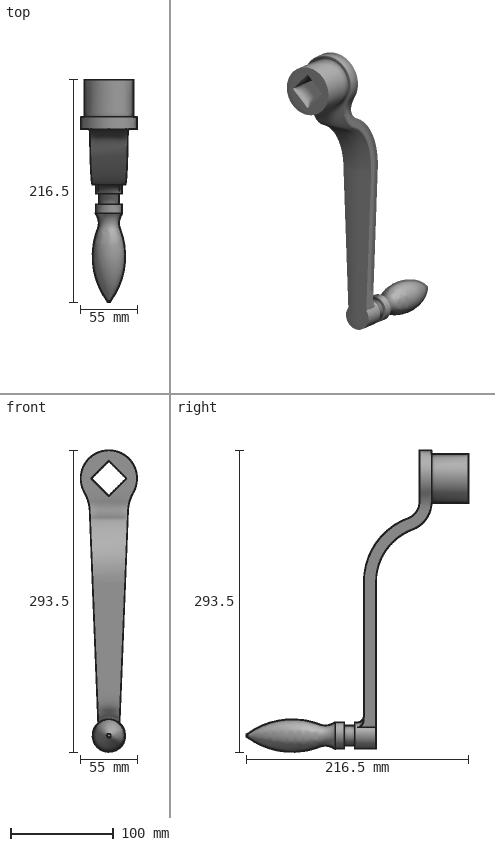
import math

import cadquery as cq

PLATE_BACK = 36.0
PLATE_FRONT = 48.0
ARM_THICKNESS = PLATE_FRONT - PLATE_BACK
ARM_FRONT = 102.0
ARM_BACK = ARM_FRONT - ARM_THICKNESS
BOSS_FRONT = 111.0
COLLAR_BACK = 121.0
COLLAR_FRONT = 130.0
WAIST = 139.5
TIP_BASE = 214.8
TIP_END = 216.5

HUB_RADIUS = 27.5
SOCKET_RADIUS = 24.0
SQUARE_SIDE = 24.0
SQUARE_ANGLE = 45.0

CRANK_LENGTH = 250.0
ARM_HALF_WIDTH_TOP = 20.0
ARM_HALF_WIDTH_BOTTOM = 10.0
NECK_FILLET = 38.0
UPPER_BEND_RADIUS = 17.0
LOWER_BEND_RADIUS = 66.0
LOWER_BEND_END_Z = -100.5

EDGE_ROUND_HUB = 1.0
EDGE_ROUND_BEND = 3.3
EDGE_ROUND_END = 0.1

BEND_RADIUS_SUM = UPPER_BEND_RADIUS + LOWER_BEND_RADIUS
BEND_CENTRE_GAP = BEND_RADIUS_SUM - (ARM_FRONT - PLATE_FRONT)
BEND_HEIGHT = math.sqrt(BEND_RADIUS_SUM**2 - BEND_CENTRE_GAP**2)
BEND_SWEEP = math.atan2(BEND_HEIGHT, BEND_CENTRE_GAP)
UPPER_BEND_START_Z = LOWER_BEND_END_Z + BEND_HEIGHT
UPPER_BEND_BACK_RADIUS = UPPER_BEND_RADIUS + ARM_THICKNESS
LOWER_BEND_BACK_RADIUS = LOWER_BEND_RADIUS - ARM_THICKNESS
BACK_INFLECTION_Z = LOWER_BEND_END_Z + LOWER_BEND_BACK_RADIUS * math.sin(BEND_SWEEP)

BOSS_RADIUS = 13.0
BOSS_FILLET = 6.0
NECK_RADIUS = 10.0
WAIST_ARC_RADIUS = 16.0
BELLY_RADIUS = 16.0
BELLY_ARC_RADIUS = 73.0


def arm_outline():
    """Front outline (X, Z): round hub blended into a tapering arm."""
    taper = math.atan((ARM_HALF_WIDTH_TOP - ARM_HALF_WIDTH_BOTTOM) / CRANK_LENGTH)
    normal = (math.cos(taper), -math.sin(taper))
    upward = (math.sin(taper), math.cos(taper))
    side_distance = ARM_HALF_WIDTH_TOP * math.cos(taper)

    hub_to_centre = HUB_RADIUS + NECK_FILLET
    offset = side_distance + NECK_FILLET
    drop = math.sqrt(hub_to_centre**2 - offset**2)
    centre = [offset * n - drop * u for n, u in zip(normal, upward)]

    hub_touch = [c * HUB_RADIUS / hub_to_centre for c in centre]
    arm_touch = [c - NECK_FILLET * n for c, n in zip(centre, normal)]
    chord_middle = [(h + a) / 2 for h, a in zip(hub_touch, arm_touch)]
    reach = math.dist(centre, chord_middle)
    middle = [c + (m - c) * NECK_FILLET / reach for c, m in zip(centre, chord_middle)]

    return (
        cq.Workplane("XZ")
        .moveTo(-ARM_HALF_WIDTH_BOTTOM, -CRANK_LENGTH)
        .lineTo(ARM_HALF_WIDTH_BOTTOM, -CRANK_LENGTH)
        .lineTo(*arm_touch)
        .threePointArc(middle, hub_touch)
        .threePointArc((0, HUB_RADIUS), (-hub_touch[0], hub_touch[1]))
        .threePointArc((-middle[0], middle[1]), (-arm_touch[0], arm_touch[1]))
        .close()
        .extrude(TIP_END)
    )


def bent_section():
    """Hub plate and S-bend as a strip of constant thickness, extruded along X."""
    upper_y = -(PLATE_FRONT + UPPER_BEND_RADIUS)
    lower_y = -(ARM_FRONT - LOWER_BEND_RADIUS)

    def upper_point(radius, angle):
        return (upper_y + radius * math.cos(angle), UPPER_BEND_START_Z - radius * math.sin(angle))

    def lower_point(radius, angle):
        return (lower_y - radius * math.cos(angle), LOWER_BEND_END_Z + radius * math.sin(angle))

    half = BEND_SWEEP / 2
    upper_front = [upper_point(UPPER_BEND_RADIUS, angle) for angle in (0, half, BEND_SWEEP)]
    lower_front = [lower_point(LOWER_BEND_RADIUS, angle) for angle in (half, 0)]
    lower_back = [lower_point(LOWER_BEND_BACK_RADIUS, angle) for angle in (0, half, BEND_SWEEP)]
    upper_back = [upper_point(UPPER_BEND_BACK_RADIUS, angle) for angle in (half, 0)]
    return (
        cq.Workplane("YZ")
        .moveTo(-PLATE_FRONT, HUB_RADIUS)
        .lineTo(*upper_front[0])
        .threePointArc(*upper_front[1:])
        .threePointArc(*lower_front)
        .lineTo(*lower_back[0])
        .threePointArc(*lower_back[1:])
        .threePointArc(*upper_back)
        .lineTo(-PLATE_BACK, HUB_RADIUS)
        .close()
        .extrude(HUB_RADIUS, both=True)
    )


def edge_round_at(z):
    """Rear edge radius at height z, changing evenly between the ends of the bends."""
    if z >= UPPER_BEND_START_Z:
        return EDGE_ROUND_HUB
    if z >= BACK_INFLECTION_Z:
        share = (UPPER_BEND_START_Z - z) / (UPPER_BEND_START_Z - BACK_INFLECTION_Z)
        return EDGE_ROUND_HUB + share * (EDGE_ROUND_BEND - EDGE_ROUND_HUB)
    share = (BACK_INFLECTION_Z - z) / (BACK_INFLECTION_Z - LOWER_BEND_END_Z)
    return EDGE_ROUND_BEND + share * (EDGE_ROUND_END - EDGE_ROUND_BEND)


def round_rear_edge(body):
    """Round the whole rear edge of the hub and bends with a varying radius."""
    rear_vertex = cq.Vertex.makeVertex(0, -PLATE_BACK, HUB_RADIUS)
    seed = min(body.edges("%CIRCLE").vals(), key=lambda edge: edge.distance(rear_vertex))
    maker = cq.occ_impl.shapes.BRepFilletAPI_MakeFillet(body.val().wrapped)
    maker.Add(seed.wrapped)
    for index in range(1, maker.NbEdges(1) + 1):
        edge = cq.Edge(maker.Edge(1, index))
        radii = [edge_round_at(end.z) for end in (edge.startPoint(), edge.endPoint())]
        maker.SetRadius(*radii, 1, index)
    return cq.Workplane(cq.Shape.cast(maker.Shape()))


def straight_section():
    """Flat bar below the bends, wide enough to be trimmed by the arm outline."""
    return cq.Workplane("XY").box(
        2 * ARM_HALF_WIDTH_TOP,
        ARM_THICKNESS,
        CRANK_LENGTH + LOWER_BEND_END_Z,
        centered=(True, False, False),
    ).translate((0, -ARM_FRONT, -CRANK_LENGTH))


def revolve_about_handle_axis(profile):
    """Turn a closed (radius, -Y) profile about the handle axis."""
    solid = profile.close().revolve(360, (0, 0), (0, 1))
    return solid.translate((0, 0, -CRANK_LENGTH))


def boss_fillet(outline):
    """Concave blend from the arm face to the boss, trimmed to the arm width."""
    diagonal = BOSS_FILLET * (1 - math.sqrt(0.5))
    ring = revolve_about_handle_axis(
        cq.Workplane("XY")
        .moveTo(0, -ARM_FRONT)
        .lineTo(BOSS_RADIUS + BOSS_FILLET, -ARM_FRONT)
        .threePointArc(
            (BOSS_RADIUS + diagonal, -ARM_FRONT - diagonal),
            (BOSS_RADIUS, -ARM_FRONT - BOSS_FILLET),
        )
        .lineTo(0, -ARM_FRONT - BOSS_FILLET)
    )
    return ring.intersect(outline)


def handle():
    """Boss, neck, collar and spindle-shaped grip."""
    waist_centre = NECK_RADIUS + WAIST_ARC_RADIUS
    belly_centre = BELLY_RADIUS - BELLY_ARC_RADIUS
    centre_distance = WAIST_ARC_RADIUS + BELLY_ARC_RADIUS
    belly = WAIST + math.sqrt(centre_distance**2 - (waist_centre - belly_centre) ** 2)

    def waist_radius(station):
        return waist_centre - math.sqrt(WAIST_ARC_RADIUS**2 - (station - WAIST) ** 2)

    def belly_radius(station):
        return belly_centre + math.sqrt(BELLY_ARC_RADIUS**2 - (station - belly) ** 2)

    tip_height = TIP_END - TIP_BASE
    tip_sphere = (belly_radius(TIP_BASE) ** 2 + tip_height**2) / (2 * tip_height)
    tip_angle = math.asin(belly_radius(TIP_BASE) / tip_sphere) / 2
    tip_middle = (
        tip_sphere * math.sin(tip_angle),
        -TIP_END + tip_sphere * (1 - math.cos(tip_angle)),
    )

    blend = WAIST + (belly - WAIST) * WAIST_ARC_RADIUS / centre_distance
    return revolve_about_handle_axis(
        cq.Workplane("XY")
        .moveTo(0, -ARM_BACK)
        .lineTo(BOSS_RADIUS, -ARM_BACK)
        .lineTo(BOSS_RADIUS, -BOSS_FRONT)
        .lineTo(NECK_RADIUS, -BOSS_FRONT)
        .lineTo(NECK_RADIUS, -COLLAR_BACK)
        .lineTo(BOSS_RADIUS, -COLLAR_BACK)
        .lineTo(BOSS_RADIUS, -COLLAR_FRONT)
        .lineTo(waist_radius(COLLAR_FRONT), -COLLAR_FRONT)
        .threePointArc((NECK_RADIUS, -WAIST), (waist_radius(blend), -blend))
        .threePointArc((BELLY_RADIUS, -belly), (belly_radius(TIP_BASE), -TIP_BASE))
        .threePointArc(tip_middle, (0, -TIP_END))
    )


outline = arm_outline()
bends = round_rear_edge(bent_section().intersect(outline))
arm = bends.union(straight_section().intersect(outline))
socket = cq.Workplane("XZ").circle(SOCKET_RADIUS).extrude(PLATE_FRONT)
square_hole = (
    cq.Workplane("XZ")
    .rect(SQUARE_SIDE, SQUARE_SIDE)
    .extrude(PLATE_FRONT)
    .rotate((0, 0, 0), (0, 1, 0), SQUARE_ANGLE)
)

result = (
    arm.union(socket)
    .union(boss_fillet(outline))
    .union(handle())
    .cut(square_hole)
)